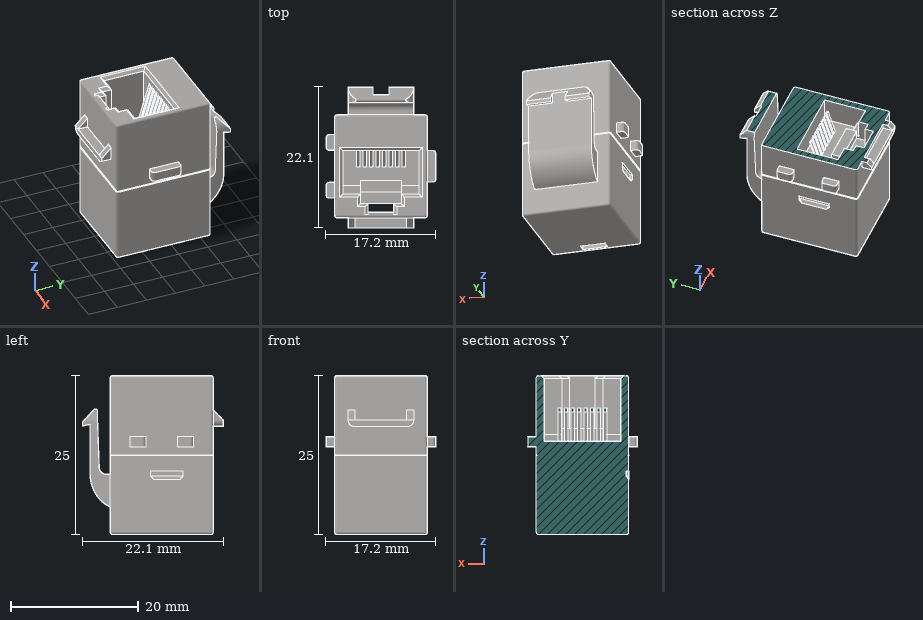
import cadquery as cq
import math


BODY_X = 14.6
BODY_Y = 16.2
BODY_Z = 25.0
EDGE_RADIUS = 0.4
SEAM_WIDTH = 0.1
SEAM_DEPTH = 0.1

FRONT_Y = -BODY_Y / 2
BACK_Y = BODY_Y / 2
LEFT_X = -BODY_X / 2
OVERLAP = 0.5

TAB_REACH = 1.32
TAB_LENGTH = 2.5
WIDE_TAB_LENGTH = 2 * TAB_LENGTH
TAB_SPACING = WIDE_TAB_LENGTH + TAB_LENGTH
TAB_Z = 13.8
TAB_HEIGHT = 1.6
TAB_RADIUS = 0.5

WINDOW_WIDTH = 5.1
WINDOW_Y = -0.82
WINDOW_TOP = 10.0
WINDOW_HEIGHT = 1.3
WINDOW_DEPTH = 0.4
WINDOW_CHAMFER = 0.5

LATCH_WIDTH = 10.3
LIP_REACH = 1.6
LIP_BOTTOM = 17.0
LIP_THICKNESS = 1.0
LIP_RIB_WIDTH = 1.1
LIP_CORNER_RADIUS = 0.95

LATCH_REACH = 4.34
LATCH_FOOT_BOTTOM = 4.3
LATCH_FOOT_TOP = 9.5
LATCH_FOOT_RADIUS = 1.1
STRAP_OUTER_Y = BACK_Y + 3.17
STRAP_INNER_Y = BACK_Y + 1.95
STRAP_LEAN = 0.3
HOOK_BOTTOM = 17.05
HOOK_EDGE_TOP = 17.7
HOOK_UNDERCUT = 0.25
HOOK_TOP = 20.3
HOOK_TIP_RADIUS = 0.35
HOOK_SHOULDER_RADIUS = 2.3
HOOK_NOTCH_WIDTH = 2.45

PORT_CHAMFER = 0.5
PORT_BACK_Y = 2.45
PORT_HALF_WIDTHS = (6.0, 3.2, 2.0)
PORT_FRONT_WALLS = (-4.35, -5.85, -7.2)
SLOT_CHAMFER_OVERRUN = 0.4
PORT_FLOOR = 14.7
LEDGE_Y = -3.05
LEDGE_Z = PORT_FLOOR + 1.0
KEY_BACK_Y = -2.25
KEY_STEP_Y = -4.0
KEY_HIGH_Z = PORT_FLOOR + 2.0
KEY_LOW_Z = PORT_FLOOR + 0.5

WIRE_COUNT = 8
WIRE_PITCH = 1.02
WIRE_WIDTH = 0.55
WIRE_THICKNESS = 0.2
WIRE_TOP = 23.5
WIRE_BOTTOM = 15.0
WIRE_END_Y = PORT_BACK_Y - 2.55


def box(x0, x1, y0, y1, z0, z1):
    """Box between opposite corner coordinates."""
    return cq.Workplane("XY").box(x1 - x0, y1 - y0, z1 - z0, centered=False).translate((x0, y0, z0))


def side_profile(points, width):
    """Closed (Y, Z) outline extruded along X, centred on X = 0."""
    return cq.Workplane("YZ").polyline(points).close().extrude(width / 2, both=True)


def make_body():
    body = box(LEFT_X, -LEFT_X, FRONT_Y, BACK_Y, 0, BODY_Z).edges().fillet(EDGE_RADIUS)
    seam = (
        cq.Workplane("XY", origin=(0, 0, BODY_Z / 2 - SEAM_WIDTH / 2))
        .rect(BODY_X + OVERLAP, BODY_Y + OVERLAP)
        .rect(BODY_X - 2 * SEAM_DEPTH, BODY_Y - 2 * SEAM_DEPTH)
        .extrude(SEAM_WIDTH)
    )
    return body.cut(seam)


def make_tab(side, y_center, length):
    """Tab on the +X (side = 1) or -X (side = -1) face with rounded outer corners."""
    tab = (
        cq.Workplane("XY")
        .box(TAB_REACH + OVERLAP, length, TAB_HEIGHT)
        .edges("|Z and >X")
        .fillet(TAB_RADIUS)
        .translate((BODY_X / 2 + (TAB_REACH - OVERLAP) / 2, 0, TAB_Z + TAB_HEIGHT / 2))
    )
    if side < 0:
        tab = tab.mirror("YZ")
    return tab.translate((0, y_center, 0))


def make_window():
    """Shallow recess whose bottom slopes outward and has clipped lower corners."""
    bottom = WINDOW_TOP - WINDOW_HEIGHT
    slope_top = bottom + WINDOW_CHAMFER
    section = (
        cq.Workplane("XZ", origin=(0, WINDOW_Y, 0))
        .moveTo(LEFT_X, bottom)
        .lineTo(LEFT_X + WINDOW_DEPTH, slope_top)
        .lineTo(LEFT_X + WINDOW_DEPTH, WINDOW_TOP)
        .lineTo(LEFT_X, WINDOW_TOP)
        .close()
        .extrude(WINDOW_WIDTH / 2, both=True)
    )
    outline = (
        box(
            LEFT_X, LEFT_X + WINDOW_DEPTH,
            WINDOW_Y - WINDOW_WIDTH / 2, WINDOW_Y + WINDOW_WIDTH / 2,
            bottom, WINDOW_TOP,
        )
        .edges("|X and <Z")
        .chamfer(WINDOW_CHAMFER)
    )
    return section.intersect(outline)


def make_front_lip():
    """Shelf with rounded lower corners and a triangular rib at each end."""
    shelf_top = LIP_BOTTOM + LIP_THICKNESS
    outer_y = FRONT_Y - LIP_REACH
    lip = (
        box(
            -LATCH_WIDTH / 2, LATCH_WIDTH / 2,
            outer_y, FRONT_Y + OVERLAP,
            LIP_BOTTOM, shelf_top,
        )
        .edges("|Y and <Z")
        .fillet(LIP_CORNER_RADIUS)
    )
    rib_outline = [(outer_y, shelf_top), (FRONT_Y, shelf_top), (FRONT_Y, shelf_top + LIP_REACH)]
    for side in (-1, 1):
        rib_x = side * (LATCH_WIDTH - LIP_RIB_WIDTH) / 2
        lip = lip.union(side_profile(rib_outline, LIP_RIB_WIDTH).translate((rib_x, 0, 0)))
    return lip


def make_rear_latch():
    """Curved spring strap rising from the back face, ending in a notched, ramped hook."""
    hook_y = BACK_Y + LATCH_REACH
    bend_width = STRAP_OUTER_Y - BACK_Y
    bend_height = LATCH_FOOT_TOP - LATCH_FOOT_BOTTOM
    bend_radius = (bend_width**2 + bend_height**2) / (2 * bend_width)
    half_angle = math.asin(bend_height / bend_radius) / 2
    bend_middle = (
        STRAP_OUTER_Y - bend_radius * (1 - math.cos(half_angle)),
        LATCH_FOOT_TOP - bend_radius * math.sin(half_angle),
    )
    foot_y = STRAP_INNER_Y - STRAP_LEAN
    latch = (
        cq.Workplane("YZ")
        .moveTo(BACK_Y - OVERLAP, LATCH_FOOT_BOTTOM)
        .lineTo(BACK_Y, LATCH_FOOT_BOTTOM)
        .threePointArc(bend_middle, (STRAP_OUTER_Y, LATCH_FOOT_TOP))
        .lineTo(STRAP_OUTER_Y, HOOK_BOTTOM + HOOK_UNDERCUT)
        .lineTo(hook_y, HOOK_BOTTOM)
        .lineTo(hook_y, HOOK_EDGE_TOP)
        .lineTo(STRAP_INNER_Y, HOOK_TOP)
        .lineTo(STRAP_INNER_Y, HOOK_EDGE_TOP)
        .lineTo(foot_y, LATCH_FOOT_TOP)
        .lineTo(BACK_Y - OVERLAP, LATCH_FOOT_TOP)
        .close()
        .extrude(LATCH_WIDTH / 2, both=True)
    )
    tip = cq.selectors.NearestToPointSelector((0, STRAP_INNER_Y, HOOK_TOP))
    latch = latch.edges(tip).fillet(HOOK_TIP_RADIUS)
    inner_corner = cq.selectors.NearestToPointSelector((0, foot_y, LATCH_FOOT_TOP))
    latch = latch.edges(inner_corner).fillet(LATCH_FOOT_RADIUS)

    shoulders = (
        box(
            -LATCH_WIDTH / 2, LATCH_WIDTH / 2,
            BACK_Y - OVERLAP, hook_y,
            0, HOOK_EDGE_TOP + HOOK_SHOULDER_RADIUS,
        )
        .edges("|Y and >Z")
        .fillet(HOOK_SHOULDER_RADIUS)
    )
    notch = box(
        -HOOK_NOTCH_WIDTH / 2, HOOK_NOTCH_WIDTH / 2,
        STRAP_OUTER_Y, hook_y,
        HOOK_BOTTOM, HOOK_TOP,
    )
    return latch.intersect(shoulders).cut(notch)


def port_outline(margin, slot_end_y):
    """Stepped (X, Y) outline of the port, offset outward by a margin, with its slot ending at slot_end_y."""
    half, key_half, slot_half = (width + margin for width in PORT_HALF_WIDTHS)
    wall = PORT_FRONT_WALLS[0] - margin
    key_wall = PORT_FRONT_WALLS[1] - margin
    right = [
        (half, PORT_BACK_Y + margin),
        (half, wall),
        (key_half, wall),
        (key_half, key_wall),
        (slot_half, key_wall),
        (slot_half, slot_end_y),
    ]
    left = [(-x, y) for x, y in reversed(right)]
    return right + left


def make_port():
    """Space to remove: stepped plug cavity, 45 degree mouth and the opening through the body.

    The slot's front wall is not chamfered; the chamfers beside it run on past it.
    """
    half, key_half, slot_half = PORT_HALF_WIDTHS
    wall, key_wall, slot_wall = PORT_FRONT_WALLS
    mouth_end_y = slot_wall - SLOT_CHAMFER_OVERRUN
    mouth_z = BODY_Z - PORT_CHAMFER
    cavity = (
        cq.Workplane("XY", origin=(0, 0, PORT_FLOOR))
        .polyline(port_outline(0, slot_wall))
        .close()
        .extrude(BODY_Z - PORT_FLOOR)
    )
    mouth = (
        cq.Workplane("XY", origin=(0, 0, mouth_z))
        .polyline(port_outline(0, mouth_end_y))
        .close()
        .workplane(offset=PORT_CHAMFER)
        .polyline(port_outline(PORT_CHAMFER, mouth_end_y))
        .close()
        .loft(ruled=True)
    )
    slot_front = box(-slot_half, slot_half, mouth_end_y, slot_wall, mouth_z, BODY_Z)
    mouth = mouth.cut(slot_front)
    ledge = box(-half, half, wall, LEDGE_Y, PORT_FLOOR, LEDGE_Z)
    key_high = box(-key_half, key_half, KEY_STEP_Y, KEY_BACK_Y, PORT_FLOOR, KEY_HIGH_Z)
    key_low = box(-key_half, key_half, key_wall, KEY_STEP_Y, PORT_FLOOR, KEY_LOW_Z)
    key_space = box(-key_half, key_half, key_wall, KEY_STEP_Y, PORT_FLOOR, LEDGE_Z)
    opening = box(-slot_half, slot_half, slot_wall, key_wall, 0, PORT_FLOOR)
    floor_steps = ledge.cut(key_space).union(key_high).union(key_low)
    return cavity.cut(floor_steps).union(mouth).union(opening)


def make_wires():
    """Row of contact wires sloping forward from the back wall, each ending in a short vertical face."""
    slope = (WIRE_TOP - WIRE_BOTTOM) / (PORT_BACK_Y - WIRE_END_Y)
    thickness_z = WIRE_THICKNESS * math.hypot(1, slope)
    outline = [
        (PORT_BACK_Y, WIRE_TOP),
        (WIRE_END_Y, WIRE_BOTTOM),
        (WIRE_END_Y, PORT_FLOOR),
        (WIRE_END_Y + (thickness_z + PORT_FLOOR - WIRE_BOTTOM) / slope, PORT_FLOOR),
        (PORT_BACK_Y, WIRE_TOP - thickness_z),
    ]
    wires = []
    for index in range(WIRE_COUNT):
        x = (index - (WIRE_COUNT - 1) / 2) * WIRE_PITCH
        wires.append(side_profile(outline, WIRE_WIDTH).translate((x, 0, 0)))
    return wires


result = make_body().cut(make_port()).cut(make_window())
for wire in make_wires():
    result = result.union(wire)
for tab_y in (-TAB_SPACING / 2, TAB_SPACING / 2):
    result = result.union(make_tab(-1, tab_y, TAB_LENGTH))
result = result.union(make_tab(1, 0, WIDE_TAB_LENGTH))
result = result.union(make_front_lip()).union(make_rear_latch())